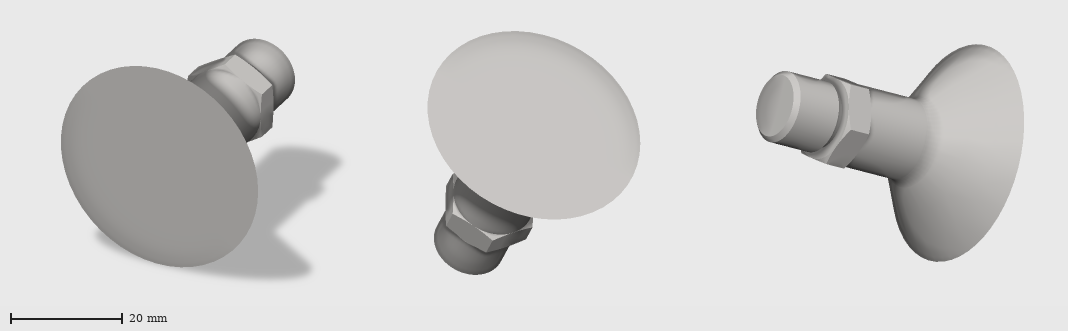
import cadquery as cq
import math

total_length = 41.0
cup_radius = 40.0 / 2
shank_radius = 15.0 / 2
neck_radius = 11.0 / 2
thread_radius = 13.15 / 2

thread_length = 9.5
thread_chamfer = 0.9
neck_length = 1.5
hex_length = 5.0
cup_fillet_end = 12.4
cup_fillet_radius = 3.0
cup_cone_angle = math.radians(48.4)

hex_across_flats = 2 * shank_radius
hex_across_corners = hex_across_flats / math.cos(math.pi / 6)
hex_bevel_length = 0.5

thread_start = total_length - thread_length
hex_end = thread_start - neck_length
hex_start = hex_end - hex_length


def fillet_point(angle):
    """Point on the cup fillet, turned by angle from its tangent with the shank."""
    radius = shank_radius + cup_fillet_radius * (1 - math.cos(angle))
    return radius, cup_fillet_end - cup_fillet_radius * math.sin(angle)


def revolve_about_axis(outline):
    return outline.close().revolve(360, (0, 0, 0), (0, 1, 0))


def make_body():
    """Suction cup, shank, neck and threaded end as one turned profile."""
    outline = (
        cq.Workplane("XY")
        .lineTo(cup_radius, 0)
        .lineTo(*fillet_point(cup_cone_angle))
        .threePointArc(fillet_point(cup_cone_angle / 2), (shank_radius, cup_fillet_end))
        .lineTo(shank_radius, hex_start)
        .lineTo(neck_radius, hex_start)
        .lineTo(neck_radius, thread_start)
        .lineTo(thread_radius, thread_start)
        .lineTo(thread_radius, total_length - thread_chamfer)
        .lineTo(thread_radius - thread_chamfer, total_length)
        .lineTo(0, total_length)
    )
    return revolve_about_axis(outline)


def make_hexagon():
    """Hexagon with corners on the Z axis and both ends bevelled."""
    prism = (
        cq.Workplane("XZ", origin=(0, hex_end, 0))
        .transformed(rotate=(0, 0, 90))
        .polygon(6, hex_across_corners)
        .extrude(hex_length)
    )
    corner_radius = hex_across_corners / 2
    envelope = revolve_about_axis(
        cq.Workplane("XY")
        .moveTo(0, hex_start)
        .lineTo(shank_radius, hex_start)
        .lineTo(corner_radius, hex_start + hex_bevel_length)
        .lineTo(corner_radius, hex_end - hex_bevel_length)
        .lineTo(shank_radius, hex_end)
        .lineTo(0, hex_end)
    )
    return prism.intersect(envelope)


result = make_body().union(make_hexagon())